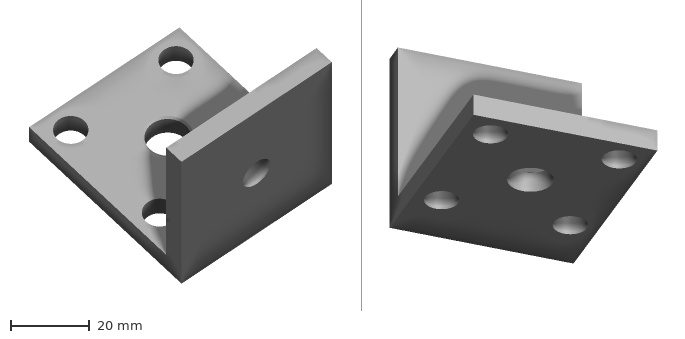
import cadquery as cq

length = 60.0
width = 50.0
height = 50.0
thickness = 6.0

bolt_hole_diameter = 9.0
bolt_hole_pitch = 35.0
center_hole_diameter = 11.9
center_hole_chamfer_width = 0.65
center_hole_chamfer_depth = 0.4
wall_hole_diameter = 9.0

pattern_x = width / 2

base = cq.Workplane("XY").box(length, width, thickness, centered=(False, True, False))
wall = (
    cq.Workplane("XY")
    .box(thickness, width, height, centered=(False, True, False))
    .translate((length - thickness, 0, 0))
)
body = base.union(wall)

bolt_holes = (
    cq.Workplane("XY")
    .center(pattern_x, 0)
    .rect(bolt_hole_pitch, bolt_hole_pitch, forConstruction=True)
    .vertices()
    .circle(bolt_hole_diameter / 2)
    .extrude(thickness)
)

center_radius = center_hole_diameter / 2
rim_radius = center_radius + center_hole_chamfer_width
center_hole = (
    cq.Workplane("XZ")
    .lineTo(center_radius, 0)
    .lineTo(center_radius, thickness - center_hole_chamfer_depth)
    .lineTo(rim_radius, thickness)
    .lineTo(0, thickness)
    .close()
    .revolve(360, (0, 0), (0, 1))
    .translate((pattern_x, 0, 0))
)

wall_hole = (
    cq.Workplane("YZ", origin=(length - thickness, 0, height / 2))
    .circle(wall_hole_diameter / 2)
    .extrude(thickness)
)

result = body.cut(bolt_holes).cut(center_hole).cut(wall_hole)